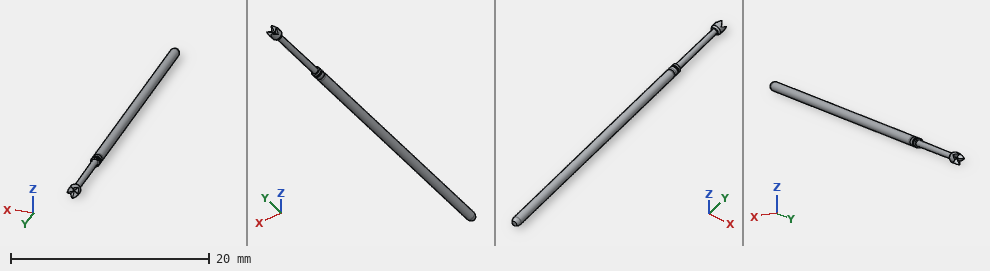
import cadquery as cq
import math

total_length = 35.1
tip_y = total_length / 2
tail_y = -total_length / 2

head_radius = 1.15 / 2
head_cylinder_length = 1.0
head_neck_radius = 0.46
head_length = 1.25
tooth_depth = 0.65
tooth_count = 4

shaft_tip_radius = 0.31
shaft_barrel_radius = 0.34

barrel_radius = 0.5
barrel_mouth_y = tip_y - 7.65
barrel_tail_round_length = 0.5
barrel_tail_radius = 0.3

groove_depth = 0.04
grooves = ((0.36, 0.2), (0.94, 0.34))


def revolve_profile(profile):
    return profile.close().revolve(360, (0, 0, 0), (0, 1, 0))


def make_plunger():
    """Head, tapered neck and shaft, running into the barrel mouth."""
    head_back_y = tip_y - head_length
    profile = (
        cq.Workplane("XY")
        .moveTo(0, tip_y)
        .lineTo(head_radius, tip_y)
        .lineTo(head_radius, tip_y - head_cylinder_length)
        .lineTo(head_neck_radius, head_back_y)
        .lineTo(shaft_tip_radius, head_back_y)
        .lineTo(shaft_barrel_radius, barrel_mouth_y)
        .lineTo(0, barrel_mouth_y)
    )
    return revolve_profile(profile)


def make_barrel():
    """Plain tube body with a rounded tail end."""
    round_start_y = tail_y + barrel_tail_round_length
    profile = (
        cq.Workplane("XY")
        .moveTo(0, barrel_mouth_y)
        .lineTo(barrel_radius, barrel_mouth_y)
        .lineTo(barrel_radius, round_start_y)
        .tangentArcPoint((barrel_tail_radius, tail_y), relative=False)
        .lineTo(0, tail_y)
    )
    return revolve_profile(profile)


def make_groove(center_y, width):
    """Ring of triangular section that cuts one V-groove into the barrel."""
    profile = (
        cq.Workplane("XY")
        .moveTo(barrel_radius, center_y - width / 2)
        .lineTo(barrel_radius - groove_depth, center_y)
        .lineTo(barrel_radius, center_y + width / 2)
    )
    return revolve_profile(profile)


def make_tooth_cut(angle):
    """V-notch straight across the head, its bottom line crossing the axis."""
    half_width = head_radius * math.sin(math.pi / tooth_count)
    overshoot = 2
    notch = (
        cq.Workplane("XY")
        .moveTo(0, tip_y - tooth_depth)
        .lineTo(half_width * overshoot, tip_y + tooth_depth * (overshoot - 1))
        .lineTo(-half_width * overshoot, tip_y + tooth_depth * (overshoot - 1))
        .close()
        .extrude(2 * head_radius, both=True)
    )
    return notch.rotate((0, 0, 0), (0, 1, 0), angle)


result = make_plunger().union(make_barrel())
for offset, width in grooves:
    result = result.cut(make_groove(barrel_mouth_y - offset, width))
for index in range(tooth_count // 2):
    result = result.cut(make_tooth_cut((index + 0.5) * 360 / tooth_count))